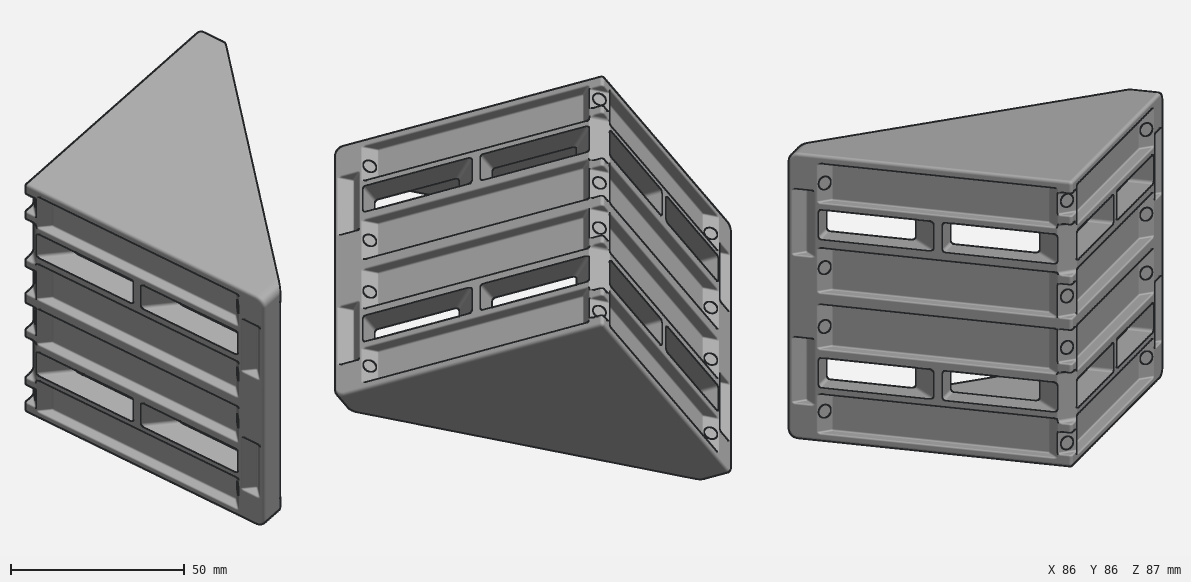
import cadquery as cq

LEG = 86.0
HEIGHT = 87.0
LEG_END = 8.2
WALL = 8.0
PLATE = 6.0
RECESS_ROUND = 0.5
EDGE_ROUND = 2 * RECESS_ROUND
END_ROUND = 3 * EDGE_ROUND

CORNER_CUT = 4.4
RECESS_DEPTH = 3.5
CHANNEL_END = 77.1
NOTCH_END = 84.7
SLOT_STARTS = [4.35, 41.85]
SLOT_LENGTH = 34.9

SLOT_MID = 22.5
SLOT_HEIGHT = 9.05
NOTCH_HEIGHT = 20.0
CORNER_NOTCH_HEIGHT = 15.5
CHANNELS = [(29.15, 41.0), (1.8, 15.3)]
CORNER_POCKETS = [(33.1, 39.8), (1.8, 12.0)]

MARK_DIAMETER = 4.0
MARK_DEPTH = 0.1
CORNER_MARK_HEIGHTS = [36.9, 7.8]
CHANNEL_MARK_HEIGHTS = [34.7, 9.0]

TOLERANCE = 0.001
DIAGONAL = cq.Vector(1, -1, 0)
SLANT_NORMAL = cq.Vector(1, 1, 0)


def prism(points, low, high):
    """Upright prism over a plan outline."""
    return cq.Workplane("XY", origin=(0, 0, low)).polyline(points).close().extrude(high - low)


def above_and_below(shape):
    """The shape together with its copy below the middle plane."""
    return shape.union(shape.mirror("XY"))


def both_walls(shape):
    """The shape together with its copy in the wall that lies along Y."""
    return shape.union(shape.mirror(DIAGONAL))


def is_plate_rim(edge):
    """True for an edge close to the top or bottom of the block."""
    return abs(edge.Center().z) > HEIGHT / 2 - END_ROUND


def block():
    """Outer body with all of its outside edges rounded."""
    outline = [(0, 0), (LEG, 0), (LEG, LEG_END), (LEG_END, LEG), (0, LEG)]
    solid = prism(outline, -HEIGHT / 2, HEIGHT / 2)
    solid = solid.edges("(>X or >Y) and (>Z or <Z)").fillet(END_ROUND)
    solid = solid.edges("|Z and (<X and <Y)").fillet(EDGE_ROUND)
    solid = solid.faces("<X or <Y").edges().fillet(EDGE_ROUND)
    slanted_face = solid.faces(cq.selectors.DirectionMinMaxSelector(SLANT_NORMAL))
    return slanted_face.edges().filter(is_plate_rim).fillet(EDGE_ROUND)


def interior():
    """Triangular space between the walls and the plates, reaching past the slanted side to open it."""
    corners = [(WALL, WALL), (2 * LEG, WALL), (WALL, 2 * LEG)]
    return prism(corners, -HEIGHT / 2 + PLATE, HEIGHT / 2 - PLATE)


def channel(low, high):
    """Long channel with 45 degree end walls."""
    outline = [
        (CORNER_CUT, 0),
        (CORNER_CUT + RECESS_DEPTH, RECESS_DEPTH),
        (CHANNEL_END - RECESS_DEPTH, RECESS_DEPTH),
        (CHANNEL_END, 0),
    ]
    return prism(outline, low, high).edges("not <Y").fillet(RECESS_ROUND)


def end_notch():
    """V notch near the end of a wall."""
    half_width = RECESS_DEPTH
    middle = NOTCH_END - half_width
    outline = [(middle - half_width, 0), (middle, RECESS_DEPTH), (NOTCH_END, 0)]
    low = SLOT_MID - NOTCH_HEIGHT / 2
    return prism(outline, low, low + NOTCH_HEIGHT).edges("not <Y").fillet(RECESS_ROUND)


def corner_recess(low, high, inner_round):
    """45 degree cut across the upright corner, rounded along its floor and ceiling."""
    cut = prism([(0, 0), (CORNER_CUT, 0), (0, CORNER_CUT)], low, high)
    return cut.edges("not(|X or |Y or |Z)").fillet(inner_round)


def wall_recesses():
    """Channels and end notches of both walls."""
    shape = end_notch()
    for low, high in CHANNELS:
        shape = shape.union(channel(low, high))
    return above_and_below(both_walls(shape))


def corner_recesses():
    """Pockets and notches along the upright corner."""
    notch_low = SLOT_MID - CORNER_NOTCH_HEIGHT / 2
    shape = corner_recess(notch_low, notch_low + CORNER_NOTCH_HEIGHT, EDGE_ROUND)
    for low, high in CORNER_POCKETS:
        shape = shape.union(corner_recess(low, high, RECESS_ROUND))
    return above_and_below(shape)


def is_mouth(edge):
    """True for an edge inside the rounded border of an outer wall face."""
    center = edge.Center()
    along_wall = max(center.x, center.y)
    inside_ends = EDGE_ROUND + TOLERANCE < along_wall < NOTCH_END - TOLERANCE
    return inside_ends and abs(center.z) < HEIGHT / 2 - EDGE_ROUND - TOLERANCE


def round_mouths(solid):
    """Round the recess edges that lie in the outer wall faces."""
    return solid.edges("<X or <Y").filter(is_mouth).fillet(RECESS_ROUND)


def slots():
    """Through slots whose near ends run at 45 degrees."""
    low = SLOT_MID - SLOT_HEIGHT / 2
    shape = cq.Workplane("XY")
    for start in SLOT_STARTS:
        end = start + SLOT_LENGTH
        outline = [(start, 0), (start + WALL, WALL), (end, WALL), (end, 0)]
        slot = prism(outline, low, low + SLOT_HEIGHT)
        shape = shape.union(slot.edges("not(|Z or |X)").fillet(EDGE_ROUND))
    return above_and_below(both_walls(shape))


def mark(x, y, height):
    """Shallow round recess in a 45 degree face."""
    face = cq.Plane(origin=(x, y, height), xDir=DIAGONAL, normal=SLANT_NORMAL)
    return cq.Workplane(face).circle(MARK_DIAMETER / 2).extrude(MARK_DEPTH)


def marks():
    """Round marks on the corner pockets and on the far end walls of the channels."""
    shape = cq.Workplane("XY")
    for height in CORNER_MARK_HEIGHTS:
        shape = shape.union(mark(CORNER_CUT / 2, CORNER_CUT / 2, height))
    for height in CHANNEL_MARK_HEIGHTS:
        in_channel = mark(CHANNEL_END - RECESS_DEPTH / 2, RECESS_DEPTH / 2, height)
        shape = shape.union(both_walls(in_channel))
    return above_and_below(shape)


outer = block()
with_wall_recesses = round_mouths(outer.cut(wall_recesses()))
with_corner_recesses = round_mouths(outer.cut(corner_recesses()))
body = with_wall_recesses.intersect(with_corner_recesses)
result = body.cut(slots()).cut(interior()).cut(marks())